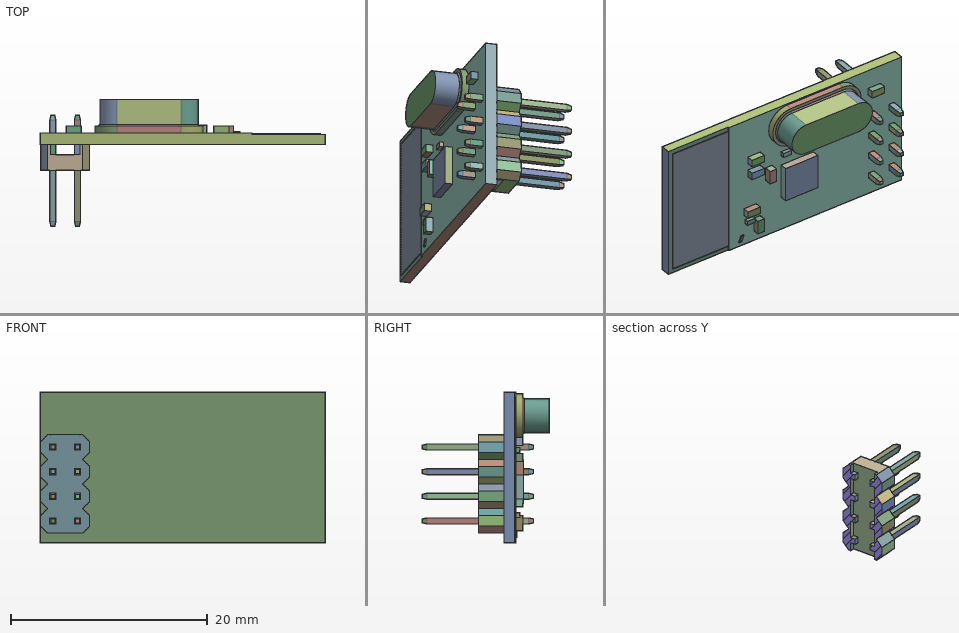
import cadquery as cq


BOARD_LENGTH = 28.95
BOARD_HEIGHT = 15.3
BOARD_THICKNESS = 1.2
BARE_THICKNESS = 1.06
COATED_LENGTH = 21.5
ANTENNA_THICKNESS = 0.08
ANTENNA_END_GAP = 0.5

PITCH = 2.5
COLUMNS = 2
ROWS = 4
HEADER_LEFT = 0.03
HEADER_BOTTOM = 0.97
HEADER_DEPTH = 2.6
HEADER_CHAMFER = 0.72
CHANNEL_WIDTH = 3.0
CHANNEL_DEPTH = 1.0
PIN_WIDTH = 0.64
PIN_TIP_WIDTH = 0.4
PIN_TIP_LENGTH = 0.5
PIN_FRONT_REACH = 8.3
PIN_BACK_REACH = 1.8

CRYSTAL_X = 11.05
CRYSTAL_Z = 12.9
CRYSTAL_STRAIGHT = 6.5
CRYSTAL_BODY_WIDTH = 3.5
CRYSTAL_BASE_WIDTH = 4.5
CRYSTAL_BASE_HEIGHT = 0.72
CRYSTAL_FLARE = 0.15
CRYSTAL_HEIGHT = 3.4

PASSIVE_LENGTH = 1.55
PASSIVE_WIDTH = 0.8
PASSIVE_HEIGHT = 0.72
LOW_PART_LENGTH = 1.0
LOW_PART_WIDTH = 0.5
LOW_PART_HEIGHT = 0.42
CHIP_SIZE = 4.0
CHIP_HEIGHT = 0.8

CHIP_CORNER = (11.0, 4.0)
FLAT_PASSIVE_CORNERS = [(2.63, 12.3), (17.6, 9.88), (17.6, 8.27), (18.1, 3.65)]
UPRIGHT_PASSIVE_CORNER = (17.6, 1.22)
TALL_PASSIVE_CORNER = (16.13, 6.88)
LOW_PART_CORNERS = [(14.0, 9.15), (18.5, 2.56)]

FEED_LEFT = 19.7
FEED_RIGHT = 20.3
FEED_TRACE_WIDTH = 0.3
FEED_BOTTOM = 0.55
FEED_TOP = 1.25
FEED_HEIGHT = 0.13


def block(x, y, z, size_x, size_y, size_z):
    """Box given by its lowest corner and its size."""
    return cq.Workplane("XY").box(size_x, size_y, size_z, centered=False).translate((x, y, z))


def back_block(corner, size_x, size_z, height):
    """Rectangular part standing on the coated back of the board."""
    x, z = corner
    return block(x, BOARD_THICKNESS, z, size_x, height, size_z)


def facing_back(y, x=0.0, z=0.0):
    """Sketch plane at depth y whose extrusions go toward +Y; its local Y axis is -Z."""
    return cq.Workplane(cq.Plane(origin=(x, y, z), xDir=(1, 0, 0), normal=(0, 1, 0)))


def make_board():
    bare = block(0, 0, 0, BOARD_LENGTH, BARE_THICKNESS, BOARD_HEIGHT)
    coated = block(0, 0, 0, COATED_LENGTH, BOARD_THICKNESS, BOARD_HEIGHT)
    antenna_length = BOARD_LENGTH - ANTENNA_END_GAP - COATED_LENGTH
    antenna_height = BOARD_HEIGHT - 2 * ANTENNA_END_GAP
    antenna = block(
        COATED_LENGTH, BARE_THICKNESS, ANTENNA_END_GAP, antenna_length, ANTENNA_THICKNESS, antenna_height
    )
    return bare.union(coated).union(antenna)


def make_feed():
    outline = [
        (FEED_LEFT, -FEED_TOP),
        (FEED_LEFT + FEED_TRACE_WIDTH, -FEED_TOP),
        (FEED_RIGHT, -FEED_BOTTOM),
        (FEED_RIGHT - FEED_TRACE_WIDTH, -FEED_BOTTOM),
    ]
    return facing_back(BOARD_THICKNESS).polyline(outline).close().extrude(FEED_HEIGHT)


def make_header():
    """Housing of chamfered cells, one per pin row, with a channel against the board."""
    width = COLUMNS * PITCH
    cell = block(HEADER_LEFT, -HEADER_DEPTH, HEADER_BOTTOM, width, HEADER_DEPTH, PITCH)
    cell = cell.edges("|Y").chamfer(HEADER_CHAMFER)
    housing = cell
    for row in range(1, ROWS):
        housing = housing.union(cell.translate((0, 0, row * PITCH)))
    channel_left = HEADER_LEFT + (width - CHANNEL_WIDTH) / 2
    channel = block(
        channel_left, -CHANNEL_DEPTH, HEADER_BOTTOM, CHANNEL_WIDTH, CHANNEL_DEPTH, ROWS * PITCH
    )
    return housing.cut(channel)


def make_pin(x, z):
    """Square pin through header and board, tapered at both ends."""
    front = -PIN_FRONT_REACH
    back = BOARD_THICKNESS + PIN_BACK_REACH
    shank_length = back - front - 2 * PIN_TIP_LENGTH
    shank = facing_back(front + PIN_TIP_LENGTH, x, z).rect(PIN_WIDTH, PIN_WIDTH).extrude(shank_length)
    front_tip = (
        facing_back(front, x, z)
        .rect(PIN_TIP_WIDTH, PIN_TIP_WIDTH)
        .workplane(offset=PIN_TIP_LENGTH)
        .rect(PIN_WIDTH, PIN_WIDTH)
        .loft(ruled=True)
    )
    back_tip = (
        facing_back(back - PIN_TIP_LENGTH, x, z)
        .rect(PIN_WIDTH, PIN_WIDTH)
        .workplane(offset=PIN_TIP_LENGTH)
        .rect(PIN_TIP_WIDTH, PIN_TIP_WIDTH)
        .loft(ruled=True)
    )
    return shank.union(front_tip).union(back_tip)


def crystal_layer(width, height):
    """Stadium-shaped layer of the crystal, standing on the board."""
    plane = facing_back(BOARD_THICKNESS, CRYSTAL_X, CRYSTAL_Z)
    return plane.slot2D(CRYSTAL_STRAIGHT + width, width).extrude(height)


def make_crystal():
    base = crystal_layer(CRYSTAL_BASE_WIDTH, CRYSTAL_BASE_HEIGHT)
    flare_width = CRYSTAL_BODY_WIDTH + 2 * CRYSTAL_FLARE
    flare = crystal_layer(flare_width, CRYSTAL_BASE_HEIGHT + CRYSTAL_FLARE)
    flare = flare.faces(">Y").edges().chamfer(CRYSTAL_FLARE)
    body = crystal_layer(CRYSTAL_BODY_WIDTH, CRYSTAL_HEIGHT)
    return base.union(flare).union(body)


def make_back_parts():
    parts = [back_block(CHIP_CORNER, CHIP_SIZE, CHIP_SIZE, CHIP_HEIGHT)]
    for corner in FLAT_PASSIVE_CORNERS:
        parts.append(back_block(corner, PASSIVE_LENGTH, PASSIVE_WIDTH, PASSIVE_HEIGHT))
    parts.append(back_block(UPRIGHT_PASSIVE_CORNER, PASSIVE_WIDTH, PASSIVE_LENGTH, PASSIVE_HEIGHT))
    parts.append(back_block(TALL_PASSIVE_CORNER, PASSIVE_WIDTH, PASSIVE_LENGTH, CHIP_HEIGHT))
    for corner in LOW_PART_CORNERS:
        parts.append(back_block(corner, LOW_PART_LENGTH, LOW_PART_WIDTH, LOW_PART_HEIGHT))
    return parts


result = make_board().union(make_feed()).union(make_header()).union(make_crystal())
for back_part in make_back_parts():
    result = result.union(back_part)
for column in range(COLUMNS):
    for row in range(ROWS):
        pin_x = HEADER_LEFT + (column + 0.5) * PITCH
        pin_z = HEADER_BOTTOM + (row + 0.5) * PITCH
        result = result.union(make_pin(pin_x, pin_z))